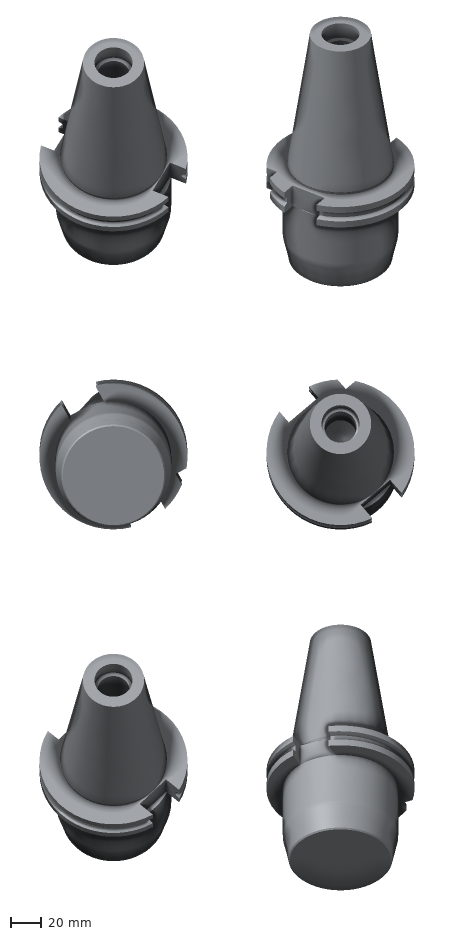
import cadquery as cq
import math

total_height = 178.6

gauge_z = 76.3
gauge_diameter = 70.2
taper_ratio = 7 / 24
neck_diameter = 69.5
lip_bevel_height = 0.5
neck_root_radius = 0.5

flange_diameter = 97.3
flange_top_z = 74.0
flange_bottom_z = 57.7
groove_floor_diameter = 91.0
groove_center_z = 65.9
groove_mouth_width = 6.8
groove_floor_width = 4.3

body_diameter = 76.0
nose_cone_angle = math.radians(12)
blend_top_z = 20.7
blend_bottom_z = 17.1
nose_chamfer = 0.9

slot_width = 25.5
left_slot_floor_x = -37.3
right_slot_floor_x = 35.2
notch_x = -29.8
notch_y = 30.2

bore_diameter = 25.0
bore_depth = 9.6
relief_diameter = 25.5
relief_depth = 11.8
countersink_height = 0.7
drill_diameter = 21.0
drill_depth = 44.6
drill_point_angle = math.radians(135)


def make_turned_body():
    """Revolve the whole outer outline, without slots or hole."""
    gauge_radius = gauge_diameter / 2
    neck_radius = neck_diameter / 2
    body_radius = body_diameter / 2
    flange_radius = flange_diameter / 2
    groove_radius = groove_floor_diameter / 2
    top_radius = gauge_radius - (total_height - gauge_z) * taper_ratio / 2

    blend_radius = (blend_top_z - blend_bottom_z) / math.sin(nose_cone_angle)

    def blend_point(angle):
        return (
            body_radius - blend_radius * (1 - math.cos(angle)),
            blend_top_z - blend_radius * math.sin(angle),
        )

    blend_end = blend_point(nose_cone_angle)
    cone_drop = blend_end[1] - nose_chamfer
    tip_radius = blend_end[0] - cone_drop * math.tan(nose_cone_angle)

    outline = (
        cq.Workplane("XZ")
        .moveTo(0, 0)
        .lineTo(tip_radius - nose_chamfer, 0)
        .lineTo(tip_radius, nose_chamfer)
        .lineTo(*blend_end)
        .threePointArc(blend_point(nose_cone_angle / 2), (body_radius, blend_top_z))
        .lineTo(body_radius, flange_bottom_z)
        .lineTo(flange_radius, flange_bottom_z)
        .lineTo(flange_radius, groove_center_z - groove_mouth_width / 2)
        .lineTo(groove_radius, groove_center_z - groove_floor_width / 2)
        .lineTo(groove_radius, groove_center_z + groove_floor_width / 2)
        .lineTo(flange_radius, groove_center_z + groove_mouth_width / 2)
        .lineTo(flange_radius, flange_top_z)
        .lineTo(neck_radius + neck_root_radius, flange_top_z)
        .radiusArc((neck_radius, flange_top_z + neck_root_radius), neck_root_radius)
        .lineTo(neck_radius, gauge_z - lip_bevel_height)
        .lineTo(gauge_radius, gauge_z)
        .lineTo(top_radius, total_height)
        .lineTo(0, total_height)
        .close()
    )
    return outline.revolve(360, (0, 0, 0), (0, 1, 0))


def make_flange_cut(start, end):
    """Block through the flange thickness between two opposite XY corners."""
    return (
        cq.Workplane("XY", origin=(0, 0, flange_bottom_z))
        .moveTo(*start)
        .lineTo(end[0], start[1])
        .lineTo(*end)
        .lineTo(start[0], end[1])
        .close()
        .extrude(flange_top_z - flange_bottom_z)
    )


def make_end_hole():
    """Bore, relief groove, countersink and drilled hole, open at the small end."""
    bore_radius = bore_diameter / 2
    relief_radius = relief_diameter / 2
    drill_radius = drill_diameter / 2
    bore_floor_z = total_height - bore_depth
    relief_floor_z = total_height - relief_depth
    drill_shoulder_z = total_height - drill_depth
    point_height = drill_radius / math.tan(drill_point_angle / 2)

    outline = (
        cq.Workplane("XZ")
        .moveTo(0, total_height)
        .lineTo(bore_radius, total_height)
        .lineTo(bore_radius, bore_floor_z)
        .lineTo(relief_radius, bore_floor_z)
        .lineTo(relief_radius, relief_floor_z)
        .lineTo(drill_radius, relief_floor_z - countersink_height)
        .lineTo(drill_radius, drill_shoulder_z)
        .lineTo(0, drill_shoulder_z - point_height)
        .close()
    )
    return outline.revolve(360, (0, 0, 0), (0, 1, 0))


half_slot = slot_width / 2
outside = flange_diameter / 2 + 1.8

result = make_turned_body()
result = result.cut(make_flange_cut((-outside, -half_slot), (left_slot_floor_x, half_slot)))
result = result.cut(make_flange_cut((right_slot_floor_x, -half_slot), (outside, half_slot)))
result = result.cut(make_flange_cut((-outside, notch_y), (notch_x, outside)))
result = result.cut(make_end_hole())